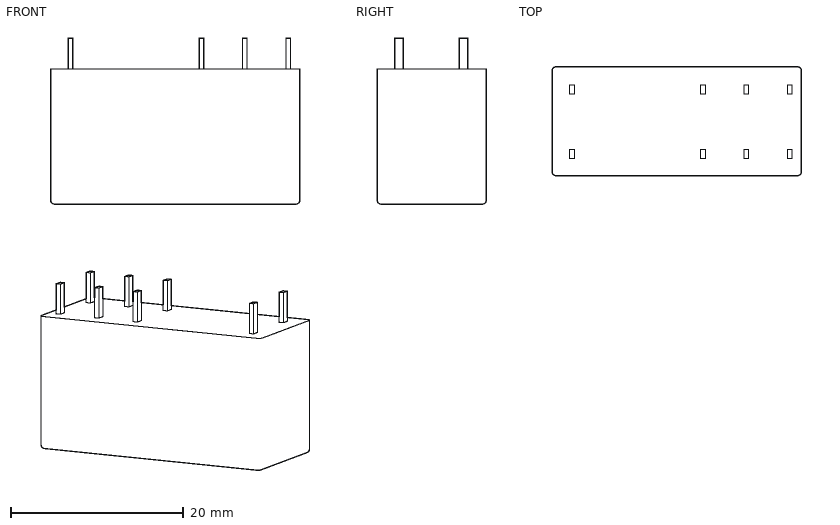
import cadquery as cq

body_length = 29.0
body_width = 12.7
body_height = 15.75
edge_radius = 0.5

pin_thickness = 0.55
pin_width = 1.02
pin_height = 3.57
row_spacing = 7.5
row_shift = -0.05
first_pin_x = -12.18
pin_pitch = 5.05
first_gap = 15.22
close_pin_count = 3

second_pin_x = first_pin_x + first_gap
pin_xs = [first_pin_x] + [second_pin_x + i * pin_pitch for i in range(close_pin_count)]
pin_ys = [row_shift - row_spacing / 2, row_shift + row_spacing / 2]


def make_body():
    """Box resting on Z = 0, with its top rim left sharp."""
    box = cq.Workplane("XY").box(body_length, body_width, body_height, centered=(True, True, False))
    return box.edges("|Z").fillet(edge_radius).faces("<Z").edges().fillet(edge_radius)


def add_pins(body):
    """Blades joined to the top face of the body."""
    pin_centers = [(x, y) for x in pin_xs for y in pin_ys]
    top_plane = cq.Workplane("XY", origin=(0, 0, body_height))
    pins = top_plane.pushPoints(pin_centers).rect(pin_thickness, pin_width).extrude(pin_height)
    return body.union(pins)


result = add_pins(make_body())